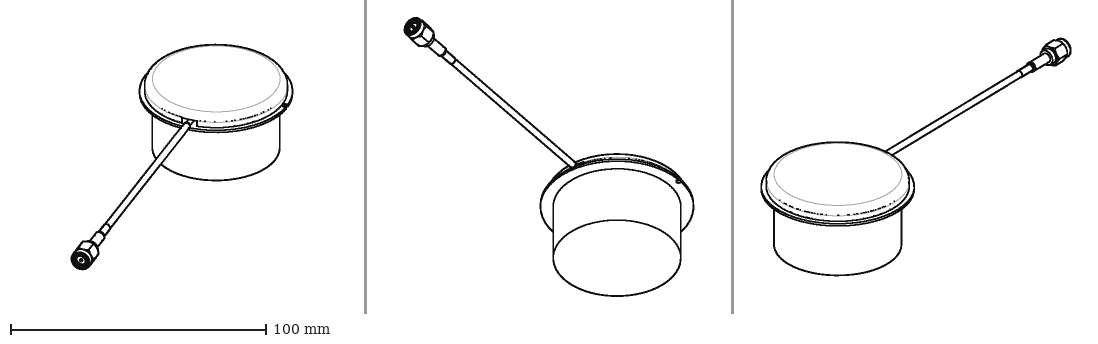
import cadquery as cq
import math

base_diameter = 50.0
base_height = 25.0
flange_diameter = 60.0
flange_thickness = 1.0
key_slot_width = 2.0
key_slot_depth = 1.7

cap_diameter = 56.0
cap_height = 5.52
cap_edge_radius = 3.0
cap_wall = 0.5
opening_width = 6.5
cavity_height = cap_height - cap_edge_radius

core_diameter = 2.0
jacket_diameter = 2.7
cable_axis_z = flange_thickness + core_diameter / 2

core_end_inset = 4.0
core_start = cap_diameter / 2 - core_end_inset
jacket_start = flange_diameter / 2
connector_end = 140.7
sleeve_start = connector_end - 27.3
collar_start = connector_end - 20.7
collar_end = collar_start + 1.0
neck_start = connector_end - 10.5
nut_start = connector_end - 8.5
hex_end = connector_end - 2.3
shoulder_end = connector_end - 0.8
plug_end = connector_end - 0.3
recess_floor = plug_end - 0.4
pin_end = connector_end - 0.2

sleeve_diameter = 3.0
collar_diameter = 4.0
collar_chamfer = 0.45
ferrule_diameter = 3.9
neck_diameter = 6.25
plug_diameter = 5.4
recess_diameter = 3.9
pin_diameter = 0.92
pin_seat_depth = 1.0

nut_width = 7.9
nut_corner_diameter = nut_width / math.cos(math.pi / 6)
nut_end_diameter = 7.8
nut_corner_chamfer = (nut_corner_diameter - nut_end_diameter) / 2
nut_mouth_diameter = 6.4
nut_mouth_chamfer = 0.3


def rod(diameter, start, end):
    """Cylinder on the cable axis between two distances from the housing axis."""
    plane = cq.Workplane("XZ", origin=(0, -start, cable_axis_z))
    return plane.circle(diameter / 2).extrude(end - start)


def make_housing():
    base = cq.Workplane("XY").circle(base_diameter / 2).extrude(-base_height)
    flange = cq.Workplane("XY").circle(flange_diameter / 2).extrude(flange_thickness)
    slot_radius = key_slot_width / 2
    slot_center = flange_diameter / 2 - key_slot_depth + slot_radius
    key_slot = (
        cq.Workplane("XY")
        .moveTo(flange_diameter / 2, -slot_radius)
        .lineTo(slot_center, -slot_radius)
        .threePointArc((slot_center - slot_radius, 0), (slot_center, slot_radius))
        .lineTo(flange_diameter / 2, slot_radius)
        .close()
        .extrude(flange_thickness)
    )
    return base.union(flange).cut(key_slot)


def make_cap():
    cap = (
        cq.Workplane("XY", origin=(0, 0, flange_thickness))
        .circle(cap_diameter / 2)
        .extrude(cap_height)
        .faces(">Z")
        .edges()
        .fillet(cap_edge_radius)
    )
    floor = cq.Workplane("XY", origin=(0, 0, flange_thickness))
    cavity = floor.circle(cap_diameter / 2 - cap_wall).extrude(cavity_height)
    opening = (
        floor.center(0, -cap_diameter / 4)
        .rect(opening_width, cap_diameter / 2)
        .extrude(cavity_height)
    )
    return cap.cut(cavity).cut(opening)


def make_cable():
    core = rod(core_diameter, core_start, jacket_start)
    jacket = rod(jacket_diameter, jacket_start, collar_start)
    return core.union(jacket)


def make_sleeve():
    outer = rod(sleeve_diameter, sleeve_start, collar_start)
    return outer.cut(rod(jacket_diameter, sleeve_start, collar_start))


def make_connector():
    pin_seat = rod(pin_diameter, recess_floor - pin_seat_depth, recess_floor)
    body = rod(collar_diameter, collar_start, collar_end).faces(">Y").chamfer(collar_chamfer)
    body = body.union(rod(ferrule_diameter, collar_end, neck_start))
    body = body.union(rod(neck_diameter, neck_start, shoulder_end))
    body = body.union(rod(plug_diameter, shoulder_end, plug_end))
    body = body.cut(rod(recess_diameter, recess_floor, plug_end))
    return body.cut(pin_seat)


def make_nut():
    hexagon = (
        cq.Workplane("XZ", origin=(0, -nut_start, cable_axis_z))
        .polygon(6, nut_corner_diameter)
        .extrude(hex_end - nut_start)
    )
    corner_limit = rod(nut_corner_diameter, nut_start, hex_end).edges("%CIRCLE").chamfer(nut_corner_chamfer)
    front_end = rod(nut_end_diameter, hex_end, connector_end)
    bore = rod(neck_diameter, nut_start, shoulder_end)
    mouth = rod(nut_mouth_diameter, shoulder_end, connector_end)
    nut = hexagon.intersect(corner_limit).union(front_end).cut(bore).cut(mouth)
    mouth_edge = nut.faces("<Y").edges(cq.selectors.RadiusNthSelector(0))
    return mouth_edge.chamfer(nut_mouth_chamfer)


def make_pin():
    return rod(pin_diameter, recess_floor - pin_seat_depth, pin_end)


housing = make_housing()
cap = make_cap()
cable = make_cable()
sleeve = make_sleeve()
connector = make_connector()
nut = make_nut()
pin = make_pin()

result = cq.Compound.makeCompound(
    [
        housing.val(),
        cap.val(),
        cable.val(),
        sleeve.val(),
        connector.val(),
        nut.val(),
        pin.val(),
    ]
)